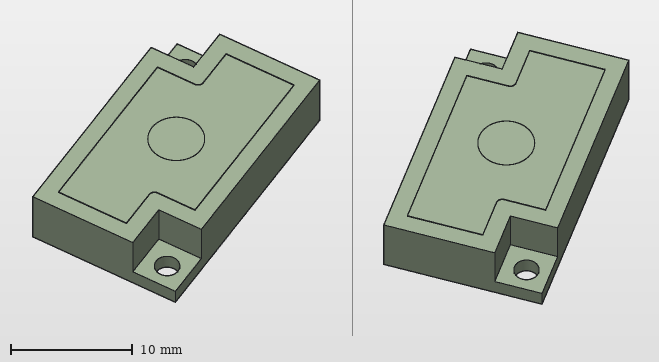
import cadquery as cq

width = 13.7
length = 23.0
height = 5.1

tab_width = 4.1
tab_length = 4.15
tab_thickness = 1.4
hole_diameter = 2.1
hole_inset = 2.0

rim = 1.55
recess_depth = 0.07
recess_corner_radius = 0.5
pad_diameter = 4.7
pad_height = 0.012


def stepped_outline(inset):
    """Rectangle missing its -X+Y and +X-Y corners, moved inward by inset."""
    x = width / 2 - inset
    y = length / 2 - inset
    step_x = x - tab_width
    step_y = y - tab_length
    return cq.Workplane("XY").polyline([
        (-x, -y), (step_x, -y), (step_x, -step_y), (x, -step_y),
        (x, y), (-step_x, y), (-step_x, step_y), (-x, step_y),
    ]).close()


def make_recess():
    """Recess volume with its two inward-pointing corners rounded."""
    corner_x = width / 2 - rim - tab_width
    corner_y = length / 2 - rim - tab_length
    recess = stepped_outline(rim).extrude(recess_depth)
    for side in (-1, 1):
        corner = cq.NearestToPointSelector((side * corner_x, -side * corner_y, recess_depth / 2))
        recess = recess.edges("|Z").edges(corner).fillet(recess_corner_radius)
    return recess.translate((0, 0, height - recess_depth))


def make_pad():
    pad = cq.Workplane("XY").circle(pad_diameter / 2).extrude(pad_height)
    return pad.translate((0, 0, height - recess_depth))


def make_tab_holes():
    x = width / 2 - hole_inset
    y = length / 2 - hole_inset
    holes = cq.Workplane("XY").pushPoints([(-x, y), (x, -y)])
    return holes.circle(hole_diameter / 2).extrude(tab_thickness)


base = cq.Workplane("XY").rect(width, length).extrude(tab_thickness)
body = base.union(stepped_outline(0).extrude(height))
result = body.cut(make_recess()).union(make_pad()).cut(make_tab_holes())